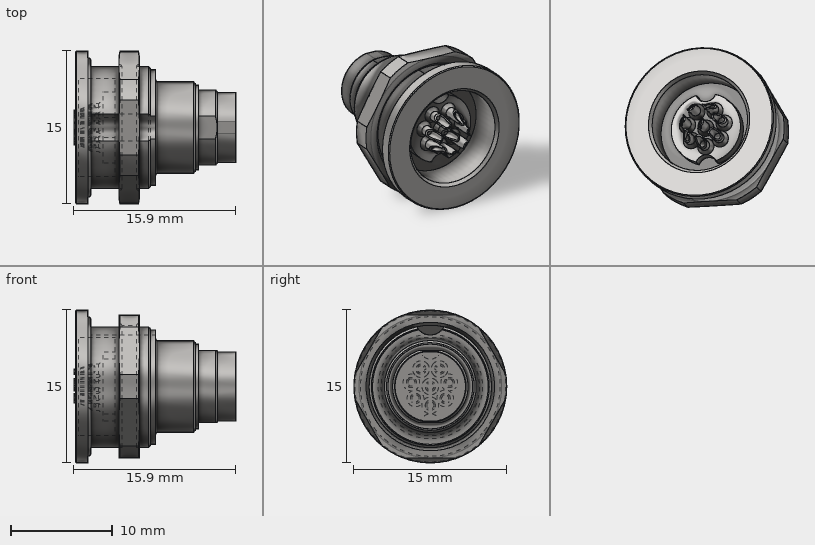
import cadquery as cq
import math


FLANGE_END = 1.2
COLLAR_END = 1.5
BARREL_END = 7.35
LIP_END = 7.85
NECK_END = 11.75
NECK_LIP_END = 12.05
TAIL_RING_END = 13.9
BODY_END = 15.72

FLANGE_RADIUS = 7.5
COLLAR_RADIUS = 6.85
BARREL_RADIUS = 6.0
LIP_RADIUS = 5.67
NECK_RADIUS = 4.5
NECK_LIP_RADIUS = 8.31 / 2
TAIL_RING_RADIUS = 3.7
TAIL_RADIUS = 3.45

FLANGE_CHAMFER = 0.1
COLLAR_FILLET = 0.3
BARREL_CHAMFER = 0.22
NECK_ROOT_FILLET = 0.2
NECK_CHAMFER = 0.2
TAIL_RING_CHAMFER = 0.2

TAIL_RING_FLAT = 3.53
TAIL_FLAT = 3.4

KEYWAY_RADIUS = 1.5
KEYWAY_HEIGHT = 6.55

NUT_START = 4.25
NUT_THICKNESS = 2.0
NUT_ACROSS_FLATS = 14.0
NUT_CORNER_RADIUS = 7.5
NUT_CHAMFER_RADIAL = 0.5
NUT_CHAMFER_AXIAL = 0.09
NUT_BORE_CHAMFER = 0.3

CAVITY_RADIUS = 9.65 / 2
CAVITY_DEPTH = 3.88
CAVITY_CHAMFER = 0.3

INSERT_RADIUS = 3.5
INSERT_HEIGHT = 1.18
INSERT_NOTCH_RADIUS = 1.05
INSERT_NOTCH_OFFSET = 3.74
INSERT_FACE = CAVITY_DEPTH - INSERT_HEIGHT

RING_CONTACTS = 7
RING_RADIUS = 1.89
RING_CENTRE_HEIGHT = 0.04
RING_STEP = 50.4
CONTACT_TIP = -0.18
CONTACT_RADIUS = 0.5
CONTACT_CONE_START = 2.25
CONTACT_BASE_RADIUS = 0.82
CUP_RADIUS = 0.35
CUP_DEPTH = 2.0
CUP_CONE_DEPTH = 0.2
CUP_OPENING_LENGTH = 1.78
CUP_OPENING_FLOOR = -0.22


def cylinder(radius, start, end):
    """Cylinder on the X axis between two stations."""
    return cq.Workplane("YZ", origin=(start, 0, 0)).circle(radius).extrude(end - start)


def make_turned_body():
    outline = (
        cq.Workplane("XY")
        .moveTo(0, 0)
        .lineTo(0, FLANGE_RADIUS - FLANGE_CHAMFER)
        .lineTo(FLANGE_CHAMFER, FLANGE_RADIUS)
        .lineTo(FLANGE_END, FLANGE_RADIUS)
        .lineTo(FLANGE_END, COLLAR_RADIUS)
        .radiusArc((COLLAR_END, COLLAR_RADIUS - COLLAR_FILLET), COLLAR_FILLET)
        .lineTo(COLLAR_END, BARREL_RADIUS)
        .lineTo(BARREL_END - BARREL_CHAMFER, BARREL_RADIUS)
        .lineTo(BARREL_END, BARREL_RADIUS - BARREL_CHAMFER)
        .lineTo(BARREL_END, LIP_RADIUS)
        .lineTo(LIP_END, LIP_RADIUS)
        .lineTo(LIP_END, NECK_RADIUS + NECK_ROOT_FILLET)
        .radiusArc((LIP_END + NECK_ROOT_FILLET, NECK_RADIUS), -NECK_ROOT_FILLET)
        .lineTo(NECK_END - NECK_CHAMFER, NECK_RADIUS)
        .lineTo(NECK_END, NECK_RADIUS - NECK_CHAMFER)
        .lineTo(NECK_END, NECK_LIP_RADIUS)
        .lineTo(NECK_LIP_END, NECK_LIP_RADIUS)
        .lineTo(NECK_LIP_END, TAIL_RING_RADIUS)
        .lineTo(TAIL_RING_END - TAIL_RING_CHAMFER, TAIL_RING_RADIUS)
        .lineTo(TAIL_RING_END, TAIL_RING_RADIUS - TAIL_RING_CHAMFER)
        .lineTo(TAIL_RING_END, TAIL_RADIUS)
        .lineTo(BODY_END, TAIL_RADIUS)
        .lineTo(BODY_END, 0)
        .close()
    )
    return outline.revolve(360, (0, 0, 0), (1, 0, 0))


def cut_flats(body, start, end, flat_distance):
    """Trim the top and bottom of the stretch from start to end to a flat."""
    length = end - start
    depth = FLANGE_RADIUS - flat_distance
    for side in (1, -1):
        block = cq.Workplane("XY").box(length, 2 * FLANGE_RADIUS, depth)
        centre_height = side * (flat_distance + depth / 2)
        body = body.cut(block.translate((start + length / 2, 0, centre_height)))
    return body


def cut_keyway(body):
    keyway = cylinder(KEYWAY_RADIUS, COLLAR_END, LIP_END).translate((0, 0, KEYWAY_HEIGHT))
    return body.cut(keyway)


def make_nut():
    """Hexagon with flats facing up and down, turned at its corners and bored to fit the barrel."""
    corner_diameter = NUT_ACROSS_FLATS / math.cos(math.pi / 6)
    nut_end = NUT_START + NUT_THICKNESS
    hexagon = (
        cq.Workplane("YZ", origin=(NUT_START, 0, 0))
        .polygon(6, corner_diameter)
        .extrude(NUT_THICKNESS)
    )
    chamfered_radius = NUT_CORNER_RADIUS - NUT_CHAMFER_RADIAL
    blank = (
        cq.Workplane("XY")
        .moveTo(NUT_START, 0)
        .lineTo(NUT_START, chamfered_radius)
        .lineTo(NUT_START + NUT_CHAMFER_AXIAL, NUT_CORNER_RADIUS)
        .lineTo(nut_end - NUT_CHAMFER_AXIAL, NUT_CORNER_RADIUS)
        .lineTo(nut_end, chamfered_radius)
        .lineTo(nut_end, 0)
        .close()
        .revolve(360, (0, 0, 0), (1, 0, 0))
    )
    mouth_radius = BARREL_RADIUS + NUT_BORE_CHAMFER
    bore = (
        cq.Workplane("XY")
        .moveTo(NUT_START, 0)
        .lineTo(NUT_START, mouth_radius)
        .lineTo(NUT_START + NUT_BORE_CHAMFER, BARREL_RADIUS)
        .lineTo(nut_end - NUT_BORE_CHAMFER, BARREL_RADIUS)
        .lineTo(nut_end, mouth_radius)
        .lineTo(nut_end, 0)
        .close()
        .revolve(360, (0, 0, 0), (1, 0, 0))
    )
    return hexagon.intersect(blank).cut(bore)


def make_cavity():
    outline = (
        cq.Workplane("XY")
        .moveTo(0, 0)
        .lineTo(0, CAVITY_RADIUS + CAVITY_CHAMFER)
        .lineTo(CAVITY_CHAMFER, CAVITY_RADIUS)
        .lineTo(CAVITY_DEPTH, CAVITY_RADIUS)
        .lineTo(CAVITY_DEPTH, 0)
        .close()
    )
    return outline.revolve(360, (0, 0, 0), (1, 0, 0))


def make_insert():
    """Disc standing on the cavity floor, notched at top and bottom."""
    insert = cylinder(INSERT_RADIUS, INSERT_FACE, CAVITY_DEPTH)
    notch = cylinder(INSERT_NOTCH_RADIUS, INSERT_FACE, CAVITY_DEPTH)
    for side in (1, -1):
        insert = insert.cut(notch.translate((0, 0, side * INSERT_NOTCH_OFFSET)))
    return insert


def make_contact():
    """Contact on the X axis whose solder cup opens towards +Z."""
    cup_floor = CONTACT_TIP + CUP_DEPTH
    contact = (
        cq.Workplane("XZ")
        .moveTo(cup_floor + CUP_CONE_DEPTH, 0)
        .lineTo(cup_floor, CUP_RADIUS)
        .lineTo(CONTACT_TIP, CUP_RADIUS)
        .lineTo(CONTACT_TIP, CONTACT_RADIUS)
        .lineTo(CONTACT_CONE_START, CONTACT_RADIUS)
        .lineTo(INSERT_FACE, CONTACT_BASE_RADIUS)
        .lineTo(INSERT_FACE, 0)
        .close()
        .revolve(360, (0, 0, 0), (1, 0, 0))
    )
    rise = CONTACT_RADIUS - CUP_OPENING_FLOOR
    opening_end = CONTACT_TIP + CUP_OPENING_LENGTH
    opening_radius = (CUP_OPENING_LENGTH**2 + rise**2) / (2 * rise)
    opening = (
        cq.Workplane("XZ")
        .moveTo(CONTACT_TIP, CUP_OPENING_FLOOR)
        .radiusArc((opening_end, CONTACT_RADIUS), -opening_radius)
        .lineTo(CONTACT_TIP, CONTACT_RADIUS)
        .close()
        .extrude(CONTACT_RADIUS, both=True)
    )
    return contact.cut(opening)


def turn(shape, degrees):
    return shape.rotate((0, 0, 0), (1, 0, 0), degrees)


def add_contacts(body):
    """Centre contact opens towards +Y; ring contacts open outwards, one at the bottom."""
    contact = make_contact()
    body = body.union(turn(contact, -90))
    ring_contact = contact.translate((0, 0, RING_RADIUS))
    side_contacts = RING_CONTACTS // 2
    for index in range(-side_contacts, side_contacts + 1):
        placed = turn(ring_contact, 180 + index * RING_STEP)
        body = body.union(placed.translate((0, 0, RING_CENTRE_HEIGHT)))
    return body


body = make_turned_body()
body = cut_flats(body, NECK_LIP_END, TAIL_RING_END, TAIL_RING_FLAT)
body = cut_flats(body, TAIL_RING_END, BODY_END, TAIL_FLAT)
body = cut_keyway(body)
body = body.union(make_nut())
body = body.cut(make_cavity())
body = body.union(make_insert())
result = add_contacts(body)